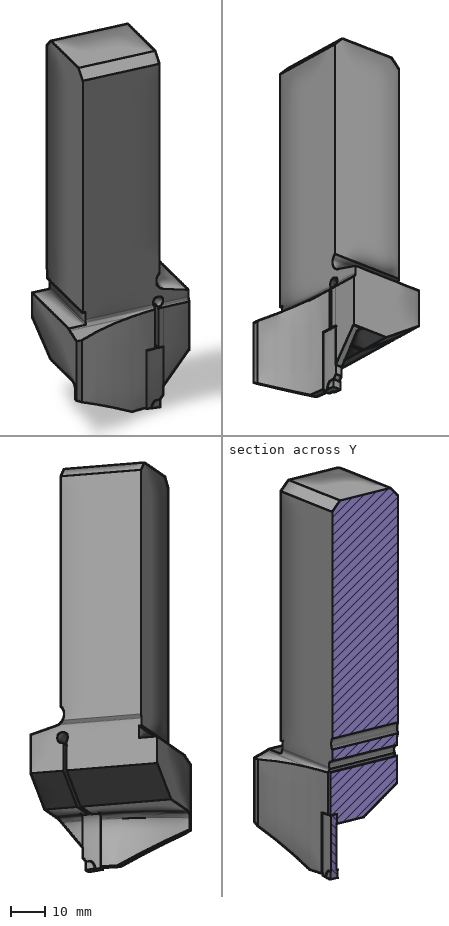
import cadquery as cq
import math


TOTAL_HEIGHT = 116.8
SHANK_WIDTH = 24.8
SHANK_DEPTH = 25.0
SHANK_FRONT = 4.9
SHANK_BACK = SHANK_FRONT + SHANK_DEPTH
TOP_CHAMFER = 2.9

HEAD_WIDTH = 30.8
HEAD_DEPTH = 39.4
HEAD_LEFT = 0.4
HEAD_BOTTOM = 16.8
LEFT_STEP_TOP = 40.1
LEFT_STEP_BOTTOM = 38.9
CORNER_CUT_TOP = 24.9
CORNER_CUT_RIGHT = 13.0
SHOULDER_ANGLE = math.radians(15)
SHOULDER_SLOPE = math.tan(SHOULDER_ANGLE)
RIGHT_SHOULDER_EDGE = 31.3
BACK_SHOULDER_EDGE = 36.5
SHOULDER_FILLET = 1.8

RELIEF_RADIUS = 3.3
RELIEF_CENTRE_Y = 32.1

NOTCH_WALL = 5.7
NOTCH_TOP = 36.7
NOTCH_FLOOR = 32.9
NOTCH_FILLET = 0.4

ARC_TANGENT_Y = 31.0
BLADE_LEFT = 23.0
BLADE_RIGHT = 25.3
BLADE_LEFT_RADIUS = 74.7
BLADE_RIGHT_RADIUS = 80.0
BLADE_FILLET = 1.8
BLADE_BOTTOM = 0.9
BLADE_BOTTOM_FRONT = 20.3
BLADE_FRONT_BOTTOM = 11.6
JAW_START_Y = 39.0
JAW_END_Z = 6.9

SLIT_FRONT = 28.1
SLIT_WIDTH = 1.0
HOLE_Y = 29.4
HOLE_Z = 34.9
HOLE_DIAMETER = 3.3

INSERT_FRONT = 25.3
INSERT_BACK = ARC_TANGENT_Y
INSERT_TOP = 19.9
INSERT_LEFT = BLADE_LEFT
INSERT_RIGHT = 25.2
TIP_LEFT = 22.5
TIP_RIGHT = BLADE_RIGHT
TIP_HEIGHT = 2.6
TIP_EDGE_Y = 29.9
TIP_LAND_FRONT = 27.0
TIP_LAND_ARC_START = 28.3
TIP_LAND_ARC_MIDDLE = (27.5, 1.6)
TIP_RELIEF = 0.4
RAKE_START = 3.9


def upright_cylinder(left, radius):
    """Cylinder along Z whose leftmost line lies at x = left."""
    circle = cq.Workplane("XY").center(left + radius, ARC_TANGENT_Y).circle(radius)
    return circle.extrude(TOTAL_HEIGHT)


def back_shoulder_height(y):
    return BACK_SHOULDER_EDGE + (HEAD_DEPTH - y) * SHOULDER_SLOPE


def make_cross_body():
    """Shank and head as one outline in XZ, extruded over the full depth."""
    shoulder_inner = RIGHT_SHOULDER_EDGE + (HEAD_WIDTH - SHANK_WIDTH) * SHOULDER_SLOPE
    return (
        cq.Workplane("XZ")
        .moveTo(TOP_CHAMFER, TOTAL_HEIGHT)
        .lineTo(SHANK_WIDTH - TOP_CHAMFER, TOTAL_HEIGHT)
        .lineTo(SHANK_WIDTH, TOTAL_HEIGHT - TOP_CHAMFER)
        .lineTo(SHANK_WIDTH, shoulder_inner)
        .lineTo(HEAD_WIDTH, RIGHT_SHOULDER_EDGE)
        .lineTo(HEAD_WIDTH, HEAD_BOTTOM)
        .lineTo(CORNER_CUT_RIGHT, HEAD_BOTTOM)
        .lineTo(HEAD_LEFT, CORNER_CUT_TOP)
        .lineTo(HEAD_LEFT, LEFT_STEP_BOTTOM)
        .lineTo(0, LEFT_STEP_TOP)
        .lineTo(0, TOTAL_HEIGHT - TOP_CHAMFER)
        .close()
        .extrude(-HEAD_DEPTH)
        .edges(cq.selectors.NearestToPointSelector((SHANK_WIDTH, HEAD_DEPTH / 2, shoulder_inner)))
        .fillet(SHOULDER_FILLET)
    )


def make_blade_wall():
    """Left side of the blade, still solid as far as the right side of the head."""
    block = cq.Workplane("XY").box(HEAD_WIDTH, HEAD_DEPTH, HEAD_BOTTOM, centered=False)
    return block.intersect(upright_cylinder(BLADE_LEFT, BLADE_LEFT_RADIUS))


def make_side_outline():
    """Holder outline in YZ, extruded over the full width."""
    relief_centre_z = back_shoulder_height(RELIEF_CENTRE_Y) + RELIEF_RADIUS / math.cos(SHOULDER_ANGLE)
    relief_top = relief_centre_z + math.sqrt(RELIEF_RADIUS**2 - (RELIEF_CENTRE_Y - SHANK_BACK) ** 2)
    relief_deepest = (RELIEF_CENTRE_Y - RELIEF_RADIUS, relief_centre_z)
    relief_end_y = RELIEF_CENTRE_Y - RELIEF_RADIUS * math.sin(SHOULDER_ANGLE)
    relief_end = (relief_end_y, back_shoulder_height(relief_end_y))
    return (
        cq.Workplane("YZ")
        .moveTo(SHANK_FRONT, TOTAL_HEIGHT)
        .lineTo(SHANK_BACK, TOTAL_HEIGHT)
        .lineTo(SHANK_BACK, relief_top)
        .threePointArc(relief_deepest, relief_end)
        .lineTo(HEAD_DEPTH, BACK_SHOULDER_EDGE)
        .lineTo(HEAD_DEPTH, HEAD_BOTTOM)
        .lineTo(JAW_START_Y, HEAD_BOTTOM)
        .lineTo(INSERT_BACK, JAW_END_Z)
        .lineTo(INSERT_BACK, BLADE_BOTTOM)
        .lineTo(BLADE_BOTTOM_FRONT, BLADE_BOTTOM)
        .lineTo(0, BLADE_FRONT_BOTTOM)
        .lineTo(0, NOTCH_FLOOR)
        .lineTo(NOTCH_WALL, NOTCH_FLOOR)
        .lineTo(NOTCH_WALL, NOTCH_TOP)
        .lineTo(SHANK_FRONT, NOTCH_TOP)
        .close()
        .extrude(HEAD_WIDTH)
        .edges(cq.selectors.NearestToPointSelector((HEAD_WIDTH / 2, NOTCH_WALL, NOTCH_FLOOR)))
        .fillet(NOTCH_FILLET)
    )


def make_right_hollow():
    """Space removed right of the blade: a cylinder in front, a plane behind its tangent line."""
    cylinder = upright_cylinder(BLADE_RIGHT, BLADE_RIGHT_RADIUS)
    behind = (
        cq.Workplane("XY")
        .box(HEAD_WIDTH, HEAD_DEPTH, TOTAL_HEIGHT, centered=False)
        .translate((BLADE_RIGHT, ARC_TANGENT_Y, 0))
    )
    return cylinder.union(behind)


def make_slit():
    """Slit from the insert seat up to its end hole, through the full width."""
    slit = (
        cq.Workplane("XY")
        .box(HEAD_WIDTH, SLIT_WIDTH, HOLE_Z - HEAD_BOTTOM, centered=False)
        .translate((0, SLIT_FRONT, HEAD_BOTTOM))
    )
    hole = cq.Workplane("YZ").center(HOLE_Y, HOLE_Z).circle(HOLE_DIAMETER / 2).extrude(HEAD_WIDTH)
    return slit.union(hole)


def make_seat():
    """Pocket for the insert, open to the right and below."""
    return (
        cq.Workplane("XY")
        .box(HEAD_WIDTH, INSERT_BACK - INSERT_FRONT, INSERT_TOP, centered=False)
        .translate((INSERT_LEFT, INSERT_FRONT, 0))
    )


def make_seat_opening():
    """Clears the blade fillet in front of the insert's left side."""
    return (
        cq.Workplane("XY")
        .box(INSERT_LEFT, INSERT_BACK - INSERT_FRONT, HEAD_BOTTOM, centered=False)
        .translate((0, INSERT_FRONT, 0))
    )


def make_holder():
    """Shank, head and blade in one piece, with the slit and the seat for the insert."""
    middle_y = HEAD_DEPTH / 2
    middle_reach = math.sqrt(BLADE_LEFT_RADIUS**2 - (ARC_TANGENT_Y - middle_y) ** 2)
    middle_x = BLADE_LEFT + BLADE_LEFT_RADIUS - middle_reach
    blade_root = cq.selectors.NearestToPointSelector((middle_x, middle_y, HEAD_BOTTOM))
    holder = make_cross_body().union(make_blade_wall())
    holder = holder.edges(blade_root).fillet(BLADE_FILLET)
    holder = holder.intersect(make_side_outline()).cut(make_right_hollow())
    return holder.cut(make_slit()).cut(make_seat()).cut(make_seat_opening())


def make_insert():
    """Flat insert body with a slightly wider cutting tip."""
    body = (
        cq.Workplane("YZ", origin=(INSERT_LEFT, 0, 0))
        .moveTo(INSERT_FRONT, INSERT_TOP)
        .lineTo(INSERT_BACK, INSERT_TOP)
        .lineTo(INSERT_BACK, RAKE_START)
        .lineTo(TIP_EDGE_Y, TIP_HEIGHT)
        .lineTo(TIP_EDGE_Y, 0)
        .lineTo(INSERT_FRONT, TIP_RELIEF)
        .close()
        .extrude(INSERT_RIGHT - INSERT_LEFT)
    )
    land_bottom = TIP_RELIEF * (TIP_EDGE_Y - TIP_LAND_FRONT) / (TIP_EDGE_Y - INSERT_FRONT)
    tip = (
        cq.Workplane("YZ", origin=(TIP_LEFT, 0, 0))
        .moveTo(TIP_EDGE_Y, 0)
        .lineTo(TIP_EDGE_Y, TIP_HEIGHT)
        .lineTo(TIP_LAND_ARC_START, TIP_HEIGHT)
        .threePointArc(TIP_LAND_ARC_MIDDLE, (TIP_LAND_FRONT, land_bottom))
        .close()
        .extrude(TIP_RIGHT - TIP_LEFT)
    )
    return body.union(tip)


holder = make_holder()
insert = make_insert()
result = cq.Compound.makeCompound([holder.solids().val(), insert.solids().val()])